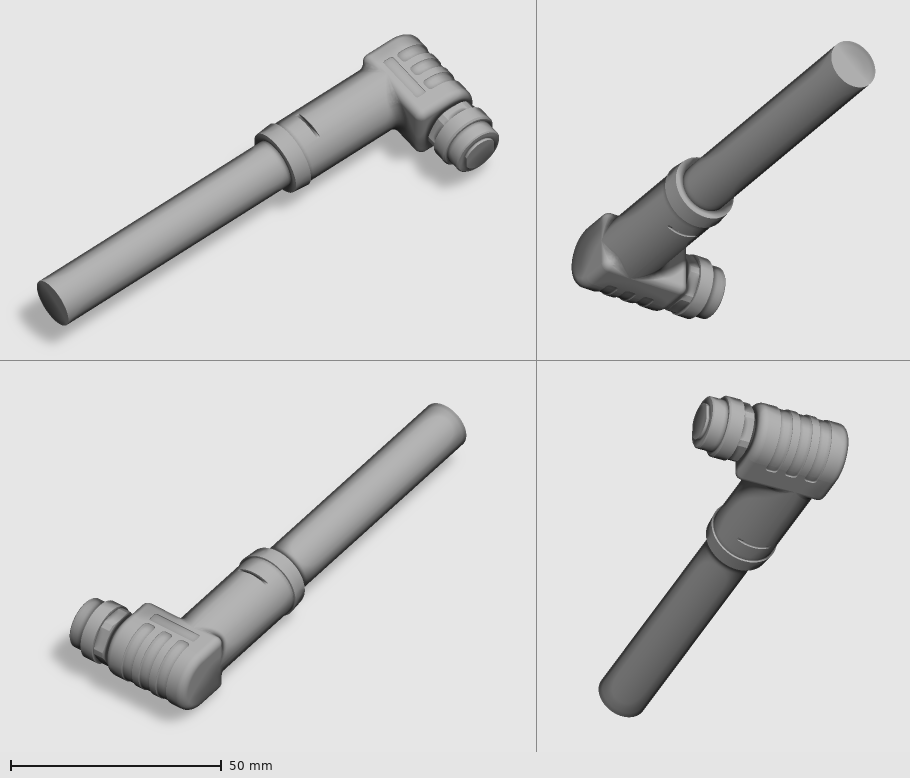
import cadquery as cq
import math


housing_radius = 8.0
housing_left_x = -housing_radius
housing_right_x = 15.25
housing_front_y = -8.75
housing_edge_radius = 1.9

seam_tolerance = 0.01

groove_width = 3.1
groove_depth = 0.35
groove_corner_radius = 1.0
groove_floor_fillet = 0.3
groove_clearance = 1.0
groove_end_y = -1.8
groove_first_x = -1.5
groove_pitch = 5.05
groove_count = 3

label_left_x = -3.2
label_right_x = 10.1
label_front_y = -5.6
label_back_y = -2.8
label_depth = 0.2
label_corner_radius = 0.6

sleeve_radius = 8.0
flare_radius = 2.0
collar_start_y = -36.1
collar_end_y = -40.3
collar_start_radius = 8.5
collar_end_radius = 8.1
cable_radius = 12.3 / 2
cable_end_y = -106.96

slot_length = 8.5
slot_back_y = -30.1
slot_front_y = -31.0
slot_floor_z = math.sqrt(sleeve_radius**2 - (slot_length / 2) ** 2)

plug_axis_y = -0.15
nut_start_x = 16.4
nut_end_x = 19.3
flange_end_x = 23.1
barrel_end_x = 26.95
plug_end_x = 27.7

neck_radius = 9.4 / 2
nut_across_flats = 13.0
nut_corner_flats = 14.1
nut_bevel_length = 0.35
flange_radius = 15.0 / 2
flange_chamfer = 0.4
barrel_radius = 12.8 / 2
barrel_chamfer = 0.3
insert_radius = 8.9 / 2
insert_flat_width = 8.2


def cylinder_x(radius, start_x, end_x):
    return cq.Workplane("YZ", origin=(start_x, 0, 0)).circle(radius).extrude(end_x - start_x)


def cylinder_y(radius, start_y, end_y):
    return cq.Workplane("XZ", origin=(0, start_y, 0)).circle(radius).extrude(start_y - end_y)


def box_between(corner, opposite):
    sizes = [b - a for a, b in zip(corner, opposite)]
    return cq.Workplane("XY").box(*sizes, centered=False).translate(corner)


def housing_section(radius):
    """Solid with a half-round back, as long in X as the housing."""
    return (
        cq.Workplane("YZ", origin=(housing_left_x, 0, 0))
        .moveTo(housing_front_y, -radius)
        .lineTo(0, -radius)
        .threePointArc((radius, 0), (0, radius))
        .lineTo(housing_front_y, radius)
        .close()
        .extrude(housing_right_x - housing_left_x)
    )


def make_housing():
    block = housing_section(housing_radius)
    return block.faces("<X or >X or <Y").edges().fillet(housing_edge_radius)


def make_grip_groove(center_x):
    """Cutter for one groove that wraps around the back from top face to bottom face."""
    floor_radius = housing_radius - groove_depth
    back_y = housing_radius + groove_clearance
    shell = housing_section(back_y).cut(housing_section(floor_radius))
    outline = box_between(
        (center_x - groove_width / 2, groove_end_y, -back_y),
        (center_x + groove_width / 2, back_y, back_y),
    )
    cutter = shell.intersect(outline.edges("|Z and <Y").fillet(groove_corner_radius))

    def is_floor_rim(edge):
        """True for floor edges, except the lines at Y = 0 where round meets flat."""
        middle = edge.positionAt(0.5)
        on_floor = math.hypot(max(middle.y, 0), middle.z) < floor_radius + seam_tolerance
        return on_floor and abs(middle.y) > seam_tolerance

    return cutter.edges().filter(is_floor_rim).fillet(groove_floor_fillet)


def make_label_recess():
    recess = box_between(
        (label_left_x, label_front_y, housing_radius - label_depth),
        (label_right_x, label_back_y, housing_radius),
    )
    return recess.edges("|Z").fillet(label_corner_radius)


def is_flare_edge(edge):
    """True for the seam where the sleeve leaves the rounded front of the housing."""
    middle = edge.positionAt(0.5)
    on_sleeve = abs(math.hypot(middle.x, middle.z) - sleeve_radius) < seam_tolerance
    return on_sleeve and abs(middle.y - housing_front_y) < housing_edge_radius


def make_housing_with_sleeve():
    """Housing and sleeve blended by a concave flare."""
    sleeve = cylinder_y(sleeve_radius, 0, collar_start_y)
    body = make_housing().union(sleeve)
    return body.edges().filter(is_flare_edge).fillet(flare_radius)


def make_sleeve_slots():
    half_length = slot_length / 2
    upper = box_between(
        (-half_length, slot_front_y, slot_floor_z),
        (half_length, slot_back_y, sleeve_radius),
    )
    return upper.union(upper.mirror("XY"))


def make_cable():
    """Tapered collar at the sleeve end with the cable leaving it."""
    collar = (
        cq.Workplane("XZ", origin=(0, collar_start_y, 0))
        .circle(collar_start_radius)
        .workplane(offset=collar_start_y - collar_end_y)
        .circle(collar_end_radius)
        .loft()
    )
    cable = cylinder_y(cable_radius, collar_end_y, cable_end_y)
    return collar.union(cable)


def hexagon(across_flats, turn):
    """Hexagonal prism along X over the length of the nut."""
    corner_diameter = across_flats / math.cos(math.pi / 6)
    prism = cq.Workplane("YZ", origin=(nut_start_x, 0, 0)).polygon(6, corner_diameter)
    return prism.extrude(nut_end_x - nut_start_x).rotate((0, 0, 0), (1, 0, 0), turn)


def make_nut():
    """Hexagon with cut corners and conical bevels at both ends."""
    end_radius = nut_across_flats / 2
    full_radius = nut_across_flats / math.sqrt(3)
    envelope = (
        cq.Workplane("XY")
        .moveTo(nut_start_x, 0)
        .lineTo(nut_start_x, end_radius)
        .lineTo(nut_start_x + nut_bevel_length, full_radius)
        .lineTo(nut_end_x - nut_bevel_length, full_radius)
        .lineTo(nut_end_x, end_radius)
        .lineTo(nut_end_x, 0)
        .close()
        .revolve(360, (0, 0, 0), (1, 0, 0))
    )
    return hexagon(nut_across_flats, 0).intersect(hexagon(nut_corner_flats, 30)).intersect(envelope)


def make_plug():
    neck = cylinder_x(neck_radius, 0, nut_start_x)
    flange = cylinder_x(flange_radius, nut_end_x, flange_end_x).faces(">X").chamfer(flange_chamfer)
    barrel = cylinder_x(barrel_radius, flange_end_x, barrel_end_x).faces(">X").chamfer(barrel_chamfer)
    insert_box = box_between(
        (barrel_end_x, -insert_flat_width / 2, -insert_radius),
        (plug_end_x, insert_flat_width / 2, insert_radius),
    )
    insert = cylinder_x(insert_radius, barrel_end_x, plug_end_x).intersect(insert_box)
    return neck.union(make_nut()).union(flange).union(barrel).union(insert).translate((0, plug_axis_y, 0))


body = make_housing_with_sleeve()
body = body.cut(make_label_recess()).cut(make_sleeve_slots())
for index in range(groove_count):
    body = body.cut(make_grip_groove(groove_first_x + index * groove_pitch))

result = body.union(make_cable()).union(make_plug())